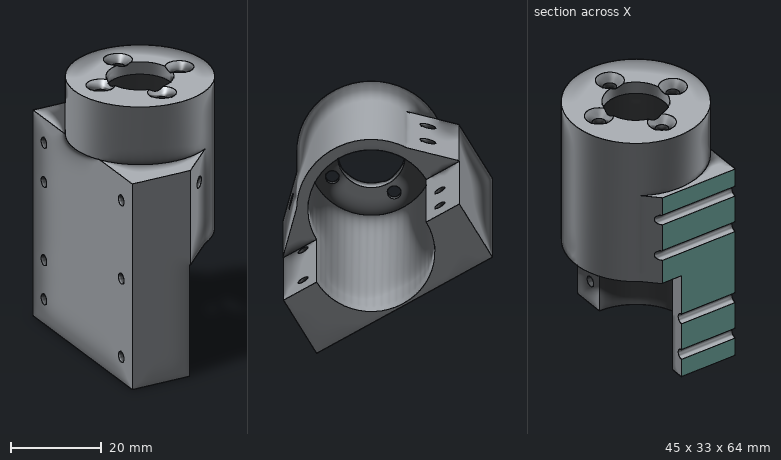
import cadquery as cq
import math

height = 64.0
block_width = 45.0
block_depth = 14.5
collar_diameter = 33.0
collar_length = 14.0
housing_length = 37.0

cavity_diameter = 28.0
cap_thickness = 3.0
bore_diameter = 15.0
motor_screw_circle = 20.0
motor_screw_hole = 3.0
motor_screw_head = 6.4
motor_screw_count = 4
countersink_angle = 90.0

mount_hole = 2.5
mount_hole_x = 17.5
mount_outer_offset = 19.0
mount_inner_offset = mount_outer_offset / 2

flank_start = 0.2

block_top = height - collar_length
housing_bottom = height - housing_length
half_width = block_width / 2


def make_block():
    """Rectangular block in front of the motor axis."""
    return cq.Workplane("XY").box(
        block_width, block_depth, block_top, centered=(True, False, False)
    ).translate((0, -block_depth, 0))


def make_housing():
    """Collar above the block, continued as a half shell behind it."""
    cylinder = (
        cq.Workplane("XY")
        .workplane(offset=housing_bottom)
        .circle(collar_diameter / 2)
        .extrude(housing_length)
    )
    front_half = cq.Workplane("XY").box(
        block_width, block_width, block_top, centered=(True, False, False)
    ).translate((0, -block_width, 0))
    return cylinder.cut(front_half)


def make_flanks():
    """Sloping 45 degree flanks that join the block to the half shell."""
    flank_run = half_width / 2
    flank_back = flank_start + flank_run
    return (
        cq.Workplane("XY")
        .workplane(offset=housing_bottom)
        .polyline([
            (-half_width, 0),
            (half_width, 0),
            (half_width, flank_start),
            (half_width - flank_run, flank_back),
            (flank_run - half_width, flank_back),
            (-half_width, flank_start),
        ])
        .close()
        .extrude(block_top - housing_bottom)
    )


def cut_motor_seat(body):
    """Cavity open at the base, with a bored cap and countersunk screw holes."""
    cavity = cq.Workplane("XY").circle(cavity_diameter / 2).extrude(height - cap_thickness)
    bore = cq.Workplane("XY").circle(bore_diameter / 2).extrude(height)
    head_radius = motor_screw_head / 2
    sink_depth = head_radius / math.tan(math.radians(countersink_angle / 2))
    body = body.cut(cavity).cut(bore)
    for index in range(motor_screw_count):
        angle = 2 * math.pi * index / motor_screw_count
        x = motor_screw_circle / 2 * math.cos(angle)
        y = motor_screw_circle / 2 * math.sin(angle)
        screw_hole = cq.Workplane("XY").center(x, y).circle(motor_screw_hole / 2).extrude(height)
        sink = cq.Solid.makeCone(
            head_radius, 0, sink_depth, pnt=cq.Vector(x, y, height), dir=cq.Vector(0, 0, -1)
        )
        body = body.cut(screw_hole).cut(cq.Workplane(sink))
    return body


def cut_mount_holes(body):
    """Four holes on the -X side and three on the +X side."""
    middle = block_top / 2
    left_offsets = (-mount_outer_offset, -mount_inner_offset, mount_inner_offset, mount_outer_offset)
    right_offsets = (-mount_outer_offset, 0, mount_outer_offset)
    points = [(-mount_hole_x, middle + offset) for offset in left_offsets]
    points += [(mount_hole_x, middle + offset) for offset in right_offsets]
    drills = (
        cq.Workplane("XZ", origin=(0, -block_depth, 0))
        .pushPoints(points)
        .circle(mount_hole / 2)
        .extrude(-(block_depth + collar_diameter / 2))
    )
    return body.cut(drills)


body = make_block().union(make_housing()).union(make_flanks())
result = cut_mount_holes(cut_motor_seat(body))